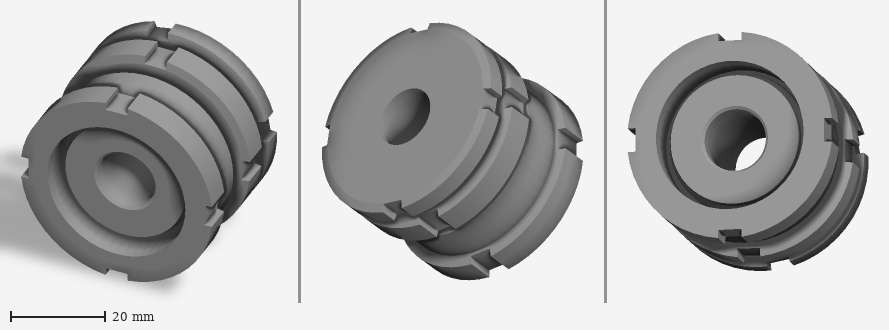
import cadquery as cq
import math

AXIS = ((0, 0, 0), (0, 1, 0))
OUTER_RADIUS = 22.45
TOTAL_LENGTH = 33.3
FRONT_FACE = -TOTAL_LENGTH / 2
BACK_FACE = TOTAL_LENGTH / 2

RIM_CONE_ANGLE = 15.0
SLOT_FLOOR = 20.6
SLOT_COUNT = 4
RIM_CHAMFER_RADIUS = 20.6

THREAD_RADIUS = 15.0

BASE_LENGTH = 18.0
BASE_FLANGE_LENGTH = 6.3
BASE_BODY_RADIUS = 20.0
BASE_BACK_CHAMFER = 2.1
BASE_COUNTERBORE_RADIUS = 16.15
BASE_COUNTERBORE_DEPTH = 9.5
BASE_THREAD_CHAMFER = 0.25
BASE_SLOT_WIDTH = 5.12

NUT_GAP = 0.7
NUT_LENGTH = 7.05
NUT_SLOT_WIDTH = 5.0
NUT_TURN = 1.1

FLANGE_LENGTH = 5.0
FLANGE_SLOT_WIDTH = 5.0
SPINDLE_TURN = -9.6
SPINDLE_FRONT_RECESS = 4.4
SPINDLE_TIP_RADIUS = 13.98
SPINDLE_TIP_LENGTH = 2.5
NECK_RADIUS = 13.85
NECK_LENGTH = 1.2
NECK_FILLET = 0.65
NECK_RUNOUT_ANGLE = 45.0
BORE_RADIUS = 6.7
BORE_CHAMFER = 0.6


def cone_length(large_radius, small_radius, angle):
    """Axial length of a shallow edge cone."""
    return (large_radius - small_radius) * math.tan(math.radians(angle))


def turned(outline):
    """Revolve a closed (radius, axial) outline around the Y axis."""
    return outline.close().revolve(360, *AXIS)


def wrench_slots(width, start, end):
    """Cutter for the four rim slots between two axial positions."""
    depth = OUTER_RADIUS - SLOT_FLOOR
    cutter = cq.Workplane("XY")
    for index in range(SLOT_COUNT):
        angle = index * 360 / SLOT_COUNT
        slot = cq.Workplane("XY").box(width, end - start, 2 * depth, centered=(True, False, False))
        slot = slot.translate((0, start, SLOT_FLOOR))
        cutter = cutter.add(slot.rotate(*AXIS, angle))
    return cutter.combine()


def make_base():
    back = FRONT_FACE + BASE_LENGTH
    rim_end = FRONT_FACE + BASE_FLANGE_LENGTH
    cone_end = rim_end + cone_length(OUTER_RADIUS, BASE_BODY_RADIUS, RIM_CONE_ANGLE)
    step = FRONT_FACE + BASE_COUNTERBORE_DEPTH
    outline = (
        cq.Workplane("XY")
        .moveTo(BASE_COUNTERBORE_RADIUS, FRONT_FACE)
        .lineTo(OUTER_RADIUS, FRONT_FACE)
        .lineTo(OUTER_RADIUS, rim_end)
        .lineTo(BASE_BODY_RADIUS, cone_end)
        .lineTo(BASE_BODY_RADIUS, back - BASE_BACK_CHAMFER)
        .lineTo(BASE_BODY_RADIUS - BASE_BACK_CHAMFER, back)
        .lineTo(THREAD_RADIUS, back)
        .lineTo(THREAD_RADIUS, step + BASE_THREAD_CHAMFER)
        .lineTo(THREAD_RADIUS + BASE_THREAD_CHAMFER, step)
        .lineTo(BASE_COUNTERBORE_RADIUS, step)
    )
    return turned(outline).cut(wrench_slots(BASE_SLOT_WIDTH, FRONT_FACE, cone_end))


def make_lock_nut():
    front = FRONT_FACE + BASE_LENGTH + NUT_GAP
    back = front + NUT_LENGTH
    cone = cone_length(OUTER_RADIUS, RIM_CHAMFER_RADIUS, RIM_CONE_ANGLE)
    outline = (
        cq.Workplane("XY")
        .moveTo(THREAD_RADIUS, front)
        .lineTo(RIM_CHAMFER_RADIUS, front)
        .lineTo(OUTER_RADIUS, front + cone)
        .lineTo(OUTER_RADIUS, back - cone)
        .lineTo(RIM_CHAMFER_RADIUS, back)
        .lineTo(THREAD_RADIUS, back)
    )
    nut = turned(outline).cut(wrench_slots(NUT_SLOT_WIDTH, front, back))
    return nut.rotate(*AXIS, NUT_TURN)


def make_spindle():
    tip = FRONT_FACE + SPINDLE_FRONT_RECESS
    chamfer_front = tip + SPINDLE_TIP_LENGTH
    thread_front = chamfer_front + THREAD_RADIUS - SPINDLE_TIP_RADIUS
    flange_front = BACK_FACE - FLANGE_LENGTH
    cone = cone_length(OUTER_RADIUS, RIM_CHAMFER_RADIUS, RIM_CONE_ANGLE)

    slope = math.radians(NECK_RUNOUT_ANGLE)
    neck_front = flange_front - NECK_LENGTH
    fillet_end_radius = NECK_RADIUS + NECK_FILLET * (1 - math.cos(slope))
    fillet_end = neck_front - NECK_FILLET * math.sin(slope)
    fillet_mid_radius = NECK_RADIUS + NECK_FILLET * (1 - math.cos(slope / 2))
    fillet_mid = neck_front - NECK_FILLET * math.sin(slope / 2)
    thread_end = fillet_end - (THREAD_RADIUS - fillet_end_radius) / math.tan(slope)

    outline = (
        cq.Workplane("XY")
        .moveTo(BORE_RADIUS + BORE_CHAMFER, tip)
        .lineTo(SPINDLE_TIP_RADIUS, tip)
        .lineTo(SPINDLE_TIP_RADIUS, chamfer_front)
        .lineTo(THREAD_RADIUS, thread_front)
        .lineTo(THREAD_RADIUS, thread_end)
        .lineTo(fillet_end_radius, fillet_end)
        .threePointArc((fillet_mid_radius, fillet_mid), (NECK_RADIUS, neck_front))
        .lineTo(NECK_RADIUS, flange_front)
        .lineTo(RIM_CHAMFER_RADIUS, flange_front)
        .lineTo(OUTER_RADIUS, flange_front + cone)
        .lineTo(OUTER_RADIUS, BACK_FACE - cone)
        .lineTo(RIM_CHAMFER_RADIUS, BACK_FACE)
        .lineTo(BORE_RADIUS, BACK_FACE)
        .lineTo(BORE_RADIUS, tip + BORE_CHAMFER)
    )
    slots = wrench_slots(FLANGE_SLOT_WIDTH, flange_front, BACK_FACE)
    return turned(outline).cut(slots).rotate(*AXIS, SPINDLE_TURN)


base = make_base()
lock_nut = make_lock_nut()
spindle = make_spindle()
result = cq.Compound.makeCompound([base.val(), lock_nut.val(), spindle.val()])